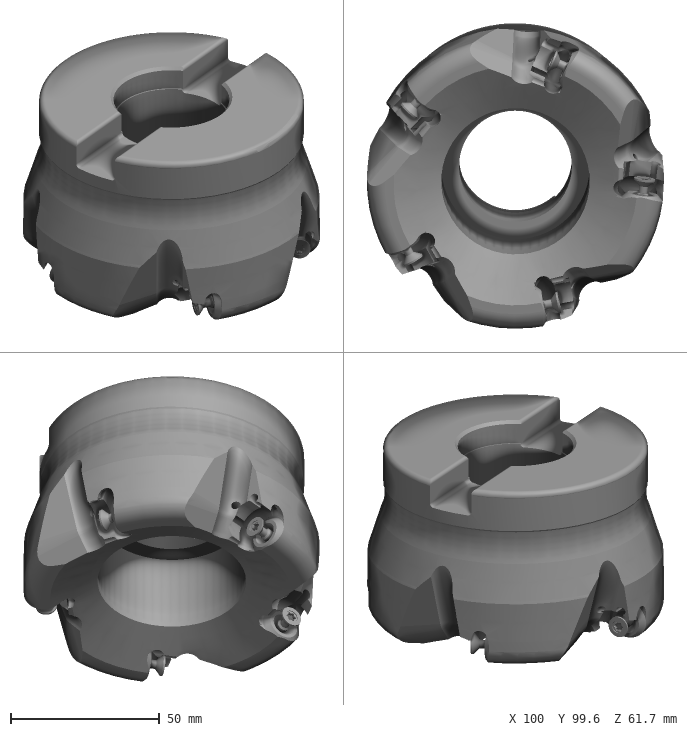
import cadquery as cq
import math

RIM_RADIUS = 50.0
HEIGHT = 61.7
CORNER_RADIUS = 6.0
RIM_STRAIGHT_TOP = 9.7
RIM_TOP = 23.4
RIM_TOP_RADIUS = 49.8
SHOULDER_ROUND_HEIGHT = 0.9
SHOULDER_RADIUS = 49.5
CONE_TOP = 36.4
CONE_TOP_RADIUS = 45.7
WAIST_HEIGHT = 42.6
WAIST_RADIUS = 44.1
HUB_BOTTOM = 47.9
HUB_RADIUS = 44.6
HUB_LIP = 0.5
HUB_FILLET = 1.9

BORE_RADIUS = 19.0
BORE_CHAMFER = 1.0
BORE_MOUTH_RADIUS = 19.5
BORE_MOUTH_DEPTH = 8.0
CAVITY_RADIUS = 25.0
CAVITY_TOP = 36.3
DISH_RADIUS = 41.0
DISH_SLOPE = 0.5
SLOT_WIDTH = 16.0
SLOT_DEPTH = 9.3
SLOT_FILLET = 1.2

FLUTE_COUNT = 5
SEAT_ANGLE = 181.0
FLUTE_LEAD = 20.5
FLUTE_TILT = 17.3
FLUTE_END_TILT = 39.0
FLUTE_BEND_RADIUS = 9.0
FLUTE_BEND_HEIGHT = 7.2
TROUGH_RADIUS = 4.8
TROUGH_CENTER = 48.6
BACK_EDGE_ANGLE = 209.0
FRONT_EDGE_ANGLE = -7.0
BACK_WALL_ANGLE = 156.0
FRONT_WALL_ANGLE = 57.0
WALL_LENGTH = 40.0
COOLANT_RADIUS = 1.3
COOLANT_HEIGHT = 13.2
COOLANT_OFFSET = 2.4

SEAT_RADIUS = 43.0
SEAT_HEIGHT = 5.6
FLOOR_OFFSET = 0.4
POCKET_RADIUS = 10.2
POCKET_DEPTH = 6.2
POCKET_ROUND = 3.0
OPENING_RADIUS = 7.6
OPENING_DEPTH = 11.8
POCKET_LOBE_ANGLES = (67, 143, 205)
POCKET_LOBE_OFFSET = 8.6
POCKET_LOBE_RADIUS = 1.6
BOSS_HEIGHT = 1.8
BOSS_FOOT_RADIUS = 7.0
BOSS_RADIUS = 5.2
SINK_RADIUS = 4.0

HEAD_RADIUS = 3.6
HEAD_TOP = BOSS_HEIGHT + 5.2
HEAD_RIM = 0.6
HEAD_CONE = 2.0
NECK_RADIUS = 1.5
THREAD_RADIUS = 2.1
THREAD_TOP = 2.0
THREAD_RUNOUT = 0.6
THREAD_END = -8.0
SOCKET_DEPTH = 1.4
SOCKET_RIM_RADIUS = 2.2
SOCKET_RIM_DEPTH = 0.3
SOCKET_CORE_RADIUS = 1.4
LOBE_COUNT = 6
LOBE_RADIUS = 0.4


def polar(radius, degrees):
    angle = math.radians(degrees)
    return radius * math.cos(angle), radius * math.sin(angle)


def make_blank():
    bend = CORNER_RADIUS * (1 - math.sqrt(0.5))
    dish_top = DISH_SLOPE * (DISH_RADIUS - CAVITY_RADIUS)
    mouth_floor = HEIGHT - BORE_MOUTH_DEPTH
    return (
        cq.Workplane("XZ")
        .moveTo(CAVITY_RADIUS, dish_top)
        .lineTo(DISH_RADIUS, 0)
        .lineTo(RIM_RADIUS - CORNER_RADIUS, 0)
        .threePointArc((RIM_RADIUS - bend, bend), (RIM_RADIUS, CORNER_RADIUS))
        .lineTo(RIM_RADIUS, RIM_STRAIGHT_TOP)
        .lineTo(RIM_TOP_RADIUS, RIM_TOP)
        .lineTo(SHOULDER_RADIUS, RIM_TOP + SHOULDER_ROUND_HEIGHT)
        .lineTo(CONE_TOP_RADIUS, CONE_TOP)
        .threePointArc((WAIST_RADIUS, WAIST_HEIGHT), (HUB_RADIUS - HUB_LIP / 2, HUB_BOTTOM - HUB_LIP))
        .lineTo(HUB_RADIUS, HUB_BOTTOM)
        .lineTo(HUB_RADIUS, HEIGHT)
        .lineTo(BORE_MOUTH_RADIUS, HEIGHT)
        .lineTo(BORE_MOUTH_RADIUS, mouth_floor)
        .lineTo(BORE_RADIUS, mouth_floor)
        .lineTo(BORE_RADIUS, CAVITY_TOP)
        .lineTo(CAVITY_RADIUS, CAVITY_TOP)
        .close()
        .revolve(360, (0, 0, 0), (0, 1, 0))
        .faces(">Z").edges(cq.selectors.RadiusNthSelector(-1)).fillet(HUB_FILLET)
        .faces(">Z").edges(cq.selectors.RadiusNthSelector(0)).chamfer(BORE_CHAMFER)
    )


def make_slot():
    """Drive slot across the hub, rounded at its floor and at its top edges."""
    half = SLOT_WIDTH / 2
    mouth = half + SLOT_FILLET
    floor = HEIGHT - SLOT_DEPTH
    bend = SLOT_FILLET * (1 - math.sqrt(0.5))
    return (
        cq.Workplane("XZ")
        .moveTo(SLOT_FILLET - half, floor)
        .lineTo(half - SLOT_FILLET, floor)
        .threePointArc((half - bend, floor + bend), (half, floor + SLOT_FILLET))
        .lineTo(half, HEIGHT - SLOT_FILLET)
        .threePointArc((half + bend, HEIGHT - bend), (mouth, HEIGHT))
        .lineTo(-mouth, HEIGHT)
        .threePointArc((-half - bend, HEIGHT - bend), (-half, HEIGHT - SLOT_FILLET))
        .lineTo(-half, floor + SLOT_FILLET)
        .threePointArc((bend - half, floor + bend), (SLOT_FILLET - half, floor))
        .close()
        .extrude(RIM_RADIUS, both=True)
    )


def make_flute():
    """Cutting volume of a chip flute that runs down in the XZ plane at +X, bending inward."""
    sin_up, cos_up = math.sin(math.radians(FLUTE_TILT)), math.cos(math.radians(FLUTE_TILT))
    sin_low, cos_low = math.sin(math.radians(FLUTE_END_TILT)), math.cos(math.radians(FLUTE_END_TILT))
    middle = math.radians((FLUTE_TILT + FLUTE_END_TILT) / 2)
    tangent = FLUTE_BEND_RADIUS * math.tan(math.radians((FLUTE_END_TILT - FLUTE_TILT) / 2))
    run = 2 * RIM_TOP

    bend_x = TROUGH_CENTER - (RIM_TOP - FLUTE_BEND_HEIGHT) * sin_up / cos_up
    top = (bend_x + run * sin_up, FLUTE_BEND_HEIGHT + run * cos_up)
    arc_start = (bend_x + tangent * sin_up, FLUTE_BEND_HEIGHT + tangent * cos_up)
    arc_end = (bend_x - tangent * sin_low, FLUTE_BEND_HEIGHT - tangent * cos_low)
    center = (arc_start[0] - FLUTE_BEND_RADIUS * cos_up, arc_start[1] + FLUTE_BEND_RADIUS * sin_up)
    arc_middle = (
        center[0] + FLUTE_BEND_RADIUS * math.cos(middle),
        center[1] - FLUTE_BEND_RADIUS * math.sin(middle),
    )
    bottom = (bend_x - run * sin_low, FLUTE_BEND_HEIGHT - run * cos_low)
    path = (
        cq.Workplane("XZ")
        .moveTo(*top)
        .lineTo(*arc_start)
        .threePointArc(arc_middle, arc_end)
        .lineTo(*bottom)
    )

    section_plane = cq.Plane(
        origin=(top[0], 0, top[1]), xDir=(0, 1, 0), normal=(-sin_up, 0, -cos_up)
    )
    back = polar(TROUGH_RADIUS, BACK_EDGE_ANGLE)
    front = polar(TROUGH_RADIUS, FRONT_EDGE_ANGLE)
    back_reach = polar(WALL_LENGTH, BACK_WALL_ANGLE)
    front_reach = polar(WALL_LENGTH, FRONT_WALL_ANGLE)
    section = (
        cq.Workplane(section_plane)
        .moveTo(back[0] + back_reach[0], back[1] + back_reach[1])
        .lineTo(*back)
        .threePointArc((0, -TROUGH_RADIUS), front)
        .lineTo(front[0] + front_reach[0], front[1] + front_reach[1])
        .close()
    )
    return section.sweep(path)


def make_coolant_hole():
    """Hole from the cavity into the trough, along +X."""
    return (
        cq.Workplane("YZ", origin=(CAVITY_RADIUS, COOLANT_OFFSET, COOLANT_HEIGHT))
        .circle(COOLANT_RADIUS)
        .extrude(RIM_RADIUS - CAVITY_RADIUS)
    )


def turned(points):
    """Solid of revolution about Z from (radius, height) corners."""
    return cq.Workplane("XZ").polyline(points).close().revolve(360, (0, 0, 0), (0, 1, 0))


def make_pocket():
    """Cutting volume of the insert pocket; the seat axis is Z and the floor is at zero."""
    disc = cq.Workplane("XY").circle(POCKET_RADIUS).extrude(POCKET_DEPTH)
    disc = disc.faces("<Z").edges().fillet(POCKET_ROUND)
    disc = disc.faces(">Z").edges().fillet(POCKET_ROUND)
    opening = cq.Workplane("XY").circle(OPENING_RADIUS).extrude(OPENING_DEPTH)
    for angle in POCKET_LOBE_ANGLES:
        lobe = cq.Workplane("XY").center(*polar(POCKET_LOBE_OFFSET, angle)).circle(POCKET_LOBE_RADIUS)
        opening = opening.union(lobe.extrude(OPENING_DEPTH))
    sink_floor = BOSS_HEIGHT - (SINK_RADIUS - THREAD_RADIUS)
    boss = turned([
        (0, 0), (BOSS_FOOT_RADIUS, 0), (BOSS_RADIUS, BOSS_HEIGHT), (0, BOSS_HEIGHT)
    ])
    sink = turned([
        (0, sink_floor), (THREAD_RADIUS, sink_floor), (SINK_RADIUS, BOSS_HEIGHT), (0, BOSS_HEIGHT)
    ])
    thread_hole = (
        cq.Workplane("XY", origin=(0, 0, THREAD_END)).circle(THREAD_RADIUS).extrude(BOSS_HEIGHT - THREAD_END)
    )
    return disc.union(opening).cut(boss).union(sink).union(thread_hole)


def make_screw():
    """Countersunk clamping screw with a six-lobed socket, standing along Z."""
    cone_top = HEAD_TOP - HEAD_RIM
    neck_top = cone_top - HEAD_CONE
    shank = turned([
        (0, THREAD_END), (THREAD_RADIUS, THREAD_END), (THREAD_RADIUS, THREAD_TOP - THREAD_RUNOUT),
        (NECK_RADIUS, THREAD_TOP), (NECK_RADIUS, neck_top), (HEAD_RADIUS, cone_top),
        (HEAD_RADIUS, HEAD_TOP), (0, HEAD_TOP),
    ])
    socket_floor = cq.Workplane("XY", origin=(0, 0, HEAD_TOP - SOCKET_DEPTH))
    core = socket_floor.circle(SOCKET_CORE_RADIUS).extrude(SOCKET_DEPTH)
    lobes = (
        socket_floor.polarArray(SOCKET_CORE_RADIUS, 0, 360, LOBE_COUNT)
        .circle(LOBE_RADIUS)
        .extrude(SOCKET_DEPTH)
    )
    rim = (
        cq.Workplane("XY", origin=(0, 0, HEAD_TOP - SOCKET_RIM_DEPTH))
        .circle(SOCKET_RIM_RADIUS)
        .extrude(SOCKET_RIM_DEPTH)
    )
    return shank.cut(core.union(lobes)).cut(rim)


def at_seat(shape, angle):
    """Moves a shape from the seat axis Z onto the seat that lies in the given direction."""
    return (
        shape.rotate((0, 0, 0), (1, 0, 0), 90)
        .translate((SEAT_RADIUS, FLOOR_OFFSET, SEAT_HEIGHT))
        .rotate((0, 0, 0), (0, 0, 1), angle)
    )


flute = make_flute().union(make_coolant_hole())
pocket = make_pocket()
screw = make_screw()

body = make_blank().cut(make_slot())
screws = []
for index in range(FLUTE_COUNT):
    seat_angle = SEAT_ANGLE + index * 360 / FLUTE_COUNT
    body = body.cut(flute.rotate((0, 0, 0), (0, 0, 1), seat_angle - FLUTE_LEAD))
    body = body.cut(at_seat(pocket, seat_angle))
    screws.append(at_seat(screw, seat_angle))

result = cq.Compound.makeCompound([body.val(), *[copy.val() for copy in screws]])